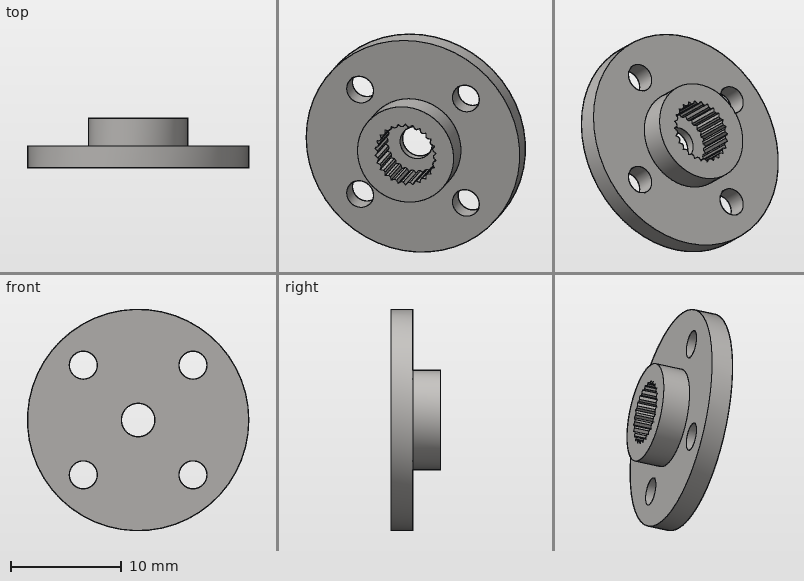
import cadquery as cq
import math

flange_diameter = 20.0
flange_thickness = 2.0

hub_diameter = 9.0
hub_length = 2.5
total_length = flange_thickness + hub_length

mount_hole_diameter = 2.5
bolt_circle_diameter = 14.0
mount_hole_count = 4
first_mount_hole_angle = 45.0

screw_hole_diameter = 3.0
screw_hole_depth = 0.9
spline_crest_radius = 2.65
spline_root_radius = 2.88
spline_tooth_count = 26
tooth_pitch_angle = 360.0 / spline_tooth_count
tooth_crest_angle = 4.6


def cylinder(diameter, start, length):
    """Solid cylinder on the Y axis, growing towards +Y from y = start."""
    return cq.Workplane("XZ", origin=(0, start, 0)).circle(diameter / 2).extrude(-length)


def polar_point(radius, angle):
    """Point in the XZ plane at an angle in degrees from +X."""
    return (radius * math.cos(math.radians(angle)), radius * math.sin(math.radians(angle)))


def spline_socket_cutter():
    """Splined socket: flat tooth crests, the first on +X, with a V groove after each."""
    outline = []
    for tooth in range(spline_tooth_count):
        tooth_angle = tooth * tooth_pitch_angle
        outline += [
            polar_point(spline_crest_radius, tooth_angle - tooth_crest_angle / 2),
            polar_point(spline_crest_radius, tooth_angle + tooth_crest_angle / 2),
            polar_point(spline_root_radius, tooth_angle + tooth_pitch_angle / 2),
        ]
    socket_floor = cq.Workplane("XZ", origin=(0, screw_hole_depth, 0))
    return socket_floor.polyline(outline).close().extrude(screw_hole_depth - total_length)


def mount_hole_cutters():
    """Through holes in the flange, evenly spaced around the bolt circle."""
    return (
        cq.Workplane("XZ")
        .polarArray(bolt_circle_diameter / 2, first_mount_hole_angle, 360, mount_hole_count)
        .circle(mount_hole_diameter / 2)
        .extrude(-flange_thickness)
    )


flange = cylinder(flange_diameter, 0, flange_thickness)
hub = cylinder(hub_diameter, flange_thickness, hub_length)
screw_hole = cylinder(screw_hole_diameter, 0, screw_hole_depth)

result = flange.union(hub).cut(screw_hole).cut(spline_socket_cutter()).cut(mount_hole_cutters())